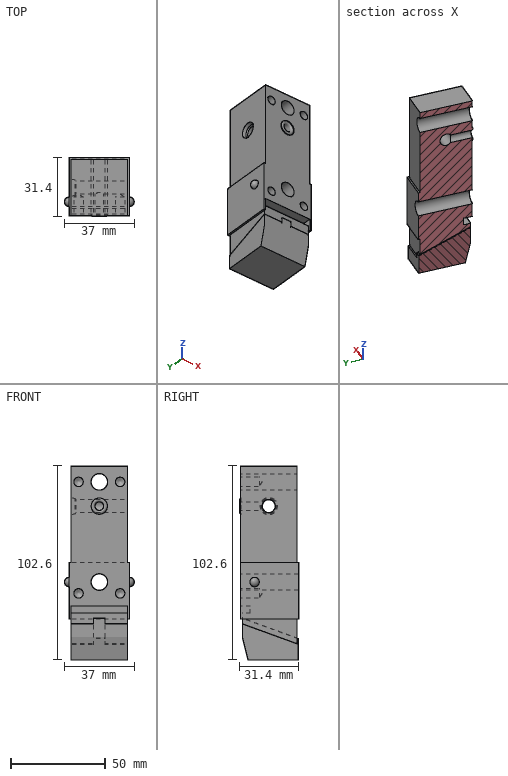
import cadquery as cq
import math

total_height = 102.62
block_width = 30.0
front_y = -block_width / 2
back_y = block_width / 2

collar_wall = 1.0
collar_drop = 51.0
collar_height = 30.0
collar_top_z = total_height - collar_drop
collar_bottom_z = collar_top_z - collar_height
collar_half_width = block_width / 2 + collar_wall

relief_depth = 1.0
nose_y = front_y + relief_depth
slot_drop = 74.0
slot_height = 3.85
slot_depth = 5.0
slot_top_z = total_height - slot_drop
slot_bottom_z = slot_top_z - slot_height

joint_angle = 20.0
joint_nose_z = 19.2
joint_gap = 0.1
tongue_width = 6.0
tongue_height = 3.0

jaw_back_y = 15.65
bevel_height = 12.0
bevel_setback = 3.0

bolt_diameter = 8.6
bolt_drop = 8.35
bolt_spacing = 53.0
tapped_diameter = 5.0
tapped_drop = 8.35
tapped_pitch_x = 22.0
tapped_pitch_z = 59.0
tapped_depth = 10.0
drill_point_angle = 118.0

port_drop = 21.2
port_z = total_height - port_drop
port_bore_diameter = 6.8
port_mouth_diameter = 9.1
port_seat_diameter = 8.2
port_mouth_depth = 2.0
port_step_depth = 0.6

ring_diameter = 6.6
ring_section = 2.08
ring_stand_out = 0.38
ring_sink = ring_section / 2 - ring_stand_out
ring_inner_diameter = ring_diameter - ring_section
ring_seat_clearance = 0.03
ring_seat_diameter = ring_diameter + ring_section - 2 * ring_seat_clearance

ball_radius = 2.515
ball_y = -7.5
ball_z = total_height - bolt_drop - bolt_spacing


def box_between(x_range, y_range, z_range):
    """Axis-aligned box from its lower and upper limits along X, Y and Z."""
    size = [high - low for low, high in (x_range, y_range, z_range)]
    corner = (x_range[0], y_range[0], z_range[0])
    return cq.Workplane("XY").box(*size, centered=False).translate(corner)


def joint_z(y):
    """Height of the sloping joint plane at a given Y."""
    return joint_nose_z - (y - nose_y) * math.tan(math.radians(joint_angle))


def side_profile(points, width):
    """Prism of a (Y, Z) outline, centred across X."""
    return cq.Workplane("YZ").polyline(points).close().extrude(width / 2, both=True)


def front_hole(x, z, diameter, depth):
    """Round cutter entering the front face at (x, z)."""
    return cq.Workplane(cq.Solid.makeCylinder(
        diameter / 2, depth, cq.Vector(x, front_y, z), cq.Vector(0, 1, 0)))


def drilled_front_hole(x, z):
    """Blind drilled cutter with a conical end."""
    radius = tapped_diameter / 2
    point_length = radius / math.tan(math.radians(drill_point_angle / 2))
    point = cq.Solid.makeCone(
        radius, 0, point_length, cq.Vector(x, front_y + tapped_depth, z), cq.Vector(0, 1, 0))
    return front_hole(x, z, tapped_diameter, tapped_depth).union(cq.Workplane(point))


def make_tongue():
    """Rib that runs down the slope and keys the jaw to the block."""
    nose_z = joint_z(nose_y)
    tail_z = joint_z(jaw_back_y)
    return side_profile(
        [(nose_y, nose_z), (nose_y, nose_z + tongue_height),
         (jaw_back_y, tail_z + tongue_height), (jaw_back_y, tail_z)],
        tongue_width,
    )


def make_port():
    """Cross bore along X whose -X mouth tapers to a conical step."""
    left_x = -block_width / 2
    step_x = left_x + port_mouth_depth
    bore_x = step_x + port_step_depth
    outline = [
        (left_x, 0),
        (left_x, port_mouth_diameter / 2),
        (step_x, port_seat_diameter / 2),
        (bore_x, port_bore_diameter / 2),
        (block_width / 2, port_bore_diameter / 2),
        (block_width / 2, 0),
    ]
    port = cq.Workplane("XY").polyline(outline).close().revolve(360, (0, 0, 0), (1, 0, 0))
    return port.translate((0, 0, port_z))


def make_block_shape():
    """Block and collar, cut off along the slope and relieved at the front."""
    half = block_width / 2
    upper = box_between((-half, half), (front_y, back_y), (collar_bottom_z, total_height))
    collar = box_between(
        (-collar_half_width, collar_half_width),
        (front_y, back_y + collar_wall),
        (collar_bottom_z, collar_top_z),
    )
    foot = side_profile(
        [(nose_y, joint_z(nose_y)), (nose_y, slot_top_z),
         (back_y, slot_top_z), (back_y, joint_z(back_y))],
        block_width,
    )
    relief = box_between((-half, half), (front_y, nose_y), (0, slot_top_z))
    slot = box_between((-half, half), (front_y, front_y + slot_depth), (slot_bottom_z, slot_top_z))
    return upper.union(collar).union(foot).cut(relief).cut(slot)


def add_seal_ring(block):
    """Seat the ring in the front face and open its centre into the port."""
    ring = cq.Workplane(cq.Solid.makeTorus(
        ring_diameter / 2, ring_section / 2,
        cq.Vector(0, front_y + ring_sink, port_z), cq.Vector(0, 1, 0)))
    block = block.cut(front_hole(0, port_z, ring_seat_diameter, ring_sink)).union(ring)
    return block.cut(front_hole(0, port_z, ring_inner_diameter, -front_y))


def make_block():
    block = make_block_shape().cut(make_tongue())

    top_bolt_z = total_height - bolt_drop
    for z in (top_bolt_z, top_bolt_z - bolt_spacing):
        block = block.cut(front_hole(0, z, bolt_diameter, block_width + collar_wall))

    top_tapped_z = total_height - tapped_drop
    for x in (-tapped_pitch_x / 2, tapped_pitch_x / 2):
        for z in (top_tapped_z, top_tapped_z - tapped_pitch_z):
            block = block.cut(drilled_front_hole(x, z))

    block = add_seal_ring(block).cut(make_port())

    for x in (-collar_half_width, collar_half_width):
        ball = cq.Workplane("XY").sphere(ball_radius).translate((x, ball_y, ball_z))
        block = block.union(ball)
    return block


def make_jaw():
    """Jaw with its tongue, set just below the block's slope by the joint gap."""
    body = side_profile(
        [(nose_y + bevel_setback, 0), (nose_y, bevel_height), (nose_y, joint_z(nose_y) - joint_gap),
         (jaw_back_y, joint_z(jaw_back_y) - joint_gap), (jaw_back_y, 0)],
        block_width,
    )
    return body.union(make_tongue().translate((0, 0, -joint_gap)))


block = make_block()
jaw = make_jaw()

result = cq.Compound.makeCompound([block.solids().val(), jaw.solids().val()])